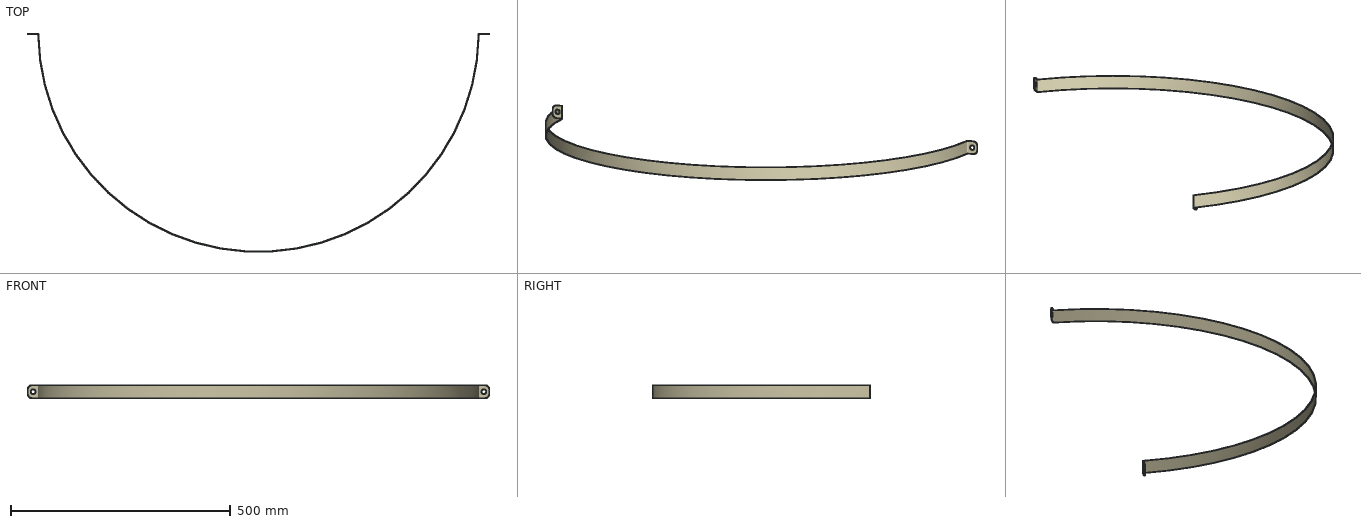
import cadquery as cq
import math

overall_length = 1052.95
overall_depth = 497.75
strip_width = 30.0
thickness = 1.25
inner_radius = 501.5
bend_inner_radius = 1.25
hole_diameter = 10.5
hole_to_tip = 12.5
tip_corner_radius = 10.0

outer_radius = inner_radius + thickness
half_length = overall_length / 2
tab_back_y = overall_depth - outer_radius
tab_front_y = tab_back_y - thickness
bend_outer_radius = bend_inner_radius + thickness

bend_centre_y = tab_front_y - bend_inner_radius
bend_centre_distance = outer_radius + bend_inner_radius
bend_centre_x = math.sqrt(bend_centre_distance**2 - bend_centre_y**2)
band_end_angle = math.atan2(bend_centre_y, bend_centre_x)


def on_band(radius, side):
    """Point where the band of the given radius meets the bend on one side."""
    return (side * radius * math.cos(band_end_angle), radius * math.sin(band_end_angle))


def on_bend(radius, side):
    """Point halfway round the bend at the given bend radius."""
    middle_angle = (math.pi / 2 + math.pi + band_end_angle) / 2
    x = bend_centre_x + radius * math.cos(middle_angle)
    y = bend_centre_y + radius * math.sin(middle_angle)
    return (side * x, y)


def make_strip():
    """Half-ring band with a tab bent outwards at each end."""
    left, right = -1, 1
    outline = (
        cq.Workplane("XY")
        .workplane(offset=-strip_width / 2)
        .moveTo(-half_length, tab_back_y)
        .lineTo(-bend_centre_x, tab_back_y)
        .threePointArc(on_bend(bend_outer_radius, left), on_band(inner_radius, left))
        .threePointArc((0, -inner_radius), on_band(inner_radius, right))
        .threePointArc(on_bend(bend_outer_radius, right), (bend_centre_x, tab_back_y))
        .lineTo(half_length, tab_back_y)
        .lineTo(half_length, tab_front_y)
        .lineTo(bend_centre_x, tab_front_y)
        .threePointArc(on_bend(bend_inner_radius, right), on_band(outer_radius, right))
        .threePointArc((0, -outer_radius), on_band(outer_radius, left))
        .threePointArc(on_bend(bend_inner_radius, left), (-bend_centre_x, tab_front_y))
        .lineTo(-half_length, tab_front_y)
        .close()
    )
    return outline.extrude(strip_width)


def round_tips(strip):
    """Round the outer corners of both tabs."""
    return strip.faces("<X or >X").edges("|Y").fillet(tip_corner_radius)


def drill_tabs(strip):
    """Drill one bolt hole through each tab."""
    hole_x = half_length - hole_to_tip
    holes = (
        cq.Workplane("XZ", origin=(0, tab_back_y, 0))
        .pushPoints([(-hole_x, 0), (hole_x, 0)])
        .circle(hole_diameter / 2)
        .extrude(thickness)
    )
    return strip.cut(holes)


result = drill_tabs(round_tips(make_strip()))